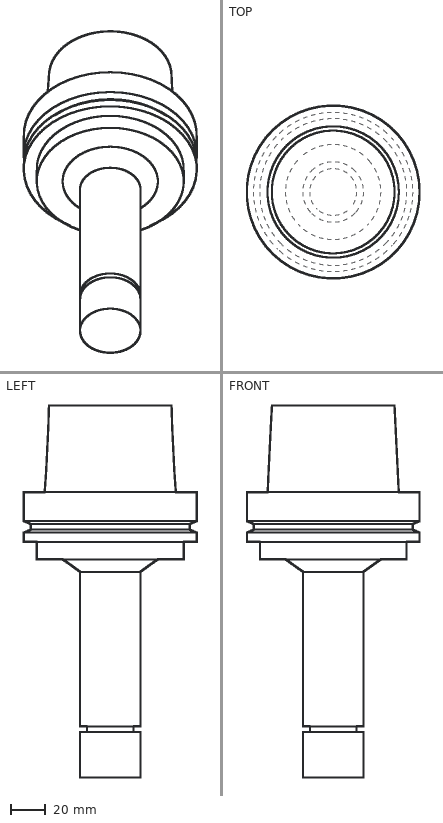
import cadquery as cq

total_height = 215.0

adapter_diameter = 35.0
adapter_height = 26.5
neck_diameter = 27.0
neck_height = 3.2

shank_height = 50.0
shank_top_diameter = 71.0
shank_base_diameter = 76.0
flange_diameter = 100.0
flange_height = 28.8
groove_floor_diameter = 92.0
groove_top_drop = 16.8
groove_mouth_width = 6.7
groove_floor_width = 3.2
collar_diameter = 85.0
collar_height = 10.0
cone_top_diameter = 55.0
cone_height = 7.0
shaft_diameter = adapter_diameter

shaft_bottom_z = adapter_height + neck_height
flange_top_z = total_height - shank_height
flange_bottom_z = flange_top_z - flange_height
collar_bottom_z = flange_bottom_z - collar_height
shaft_top_z = collar_bottom_z - cone_height


def make_solid_of_revolution(profile):
    """Revolve a stepped outline of (diameter, z) points about the Z axis."""
    bottom_z = profile[0][1]
    top_z = profile[-1][1]
    outline = [(0, bottom_z)]
    outline += [(diameter / 2, z) for diameter, z in profile]
    outline.append((0, top_z))
    return cq.Workplane("XZ").polyline(outline).close().revolve(360, (0, 0), (0, 1))


def make_flange_groove():
    """Ring-shaped cutter for the V-sided groove around the flange."""
    mouth_top_z = flange_top_z - groove_top_drop
    mouth_bottom_z = mouth_top_z - groove_mouth_width
    side_height = (groove_mouth_width - groove_floor_width) / 2
    mouth_radius = flange_diameter / 2
    floor_radius = groove_floor_diameter / 2
    return (
        cq.Workplane("XZ")
        .moveTo(mouth_radius, mouth_bottom_z)
        .lineTo(floor_radius, mouth_bottom_z + side_height)
        .lineTo(floor_radius, mouth_top_z - side_height)
        .lineTo(mouth_radius, mouth_top_z)
        .close()
        .revolve(360, (0, 0), (0, 1))
    )


def make_holder():
    """Shank, flange, collar, cone and shaft as one turned body."""
    blank = make_solid_of_revolution([
        (shaft_diameter, shaft_bottom_z),
        (shaft_diameter, shaft_top_z),
        (cone_top_diameter, collar_bottom_z),
        (collar_diameter, collar_bottom_z),
        (collar_diameter, flange_bottom_z),
        (flange_diameter, flange_bottom_z),
        (flange_diameter, flange_top_z),
        (shank_base_diameter, flange_top_z),
        (shank_top_diameter, total_height),
    ])
    return blank.cut(make_flange_groove())


def make_adapter():
    """Bottom cylinder whose neck meets the end face of the shaft."""
    return make_solid_of_revolution([
        (adapter_diameter, 0),
        (adapter_diameter, adapter_height),
        (neck_diameter, adapter_height),
        (neck_diameter, shaft_bottom_z),
    ])


holder = make_holder()
adapter = make_adapter()

result = cq.Compound.makeCompound([holder.val(), adapter.val()])